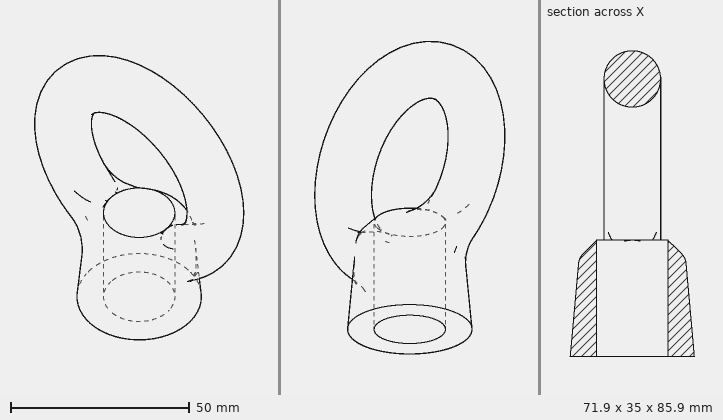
import cadquery as cq
import math

total_height = 85.9
ring_outer_diameter = 71.9
bar_diameter = 16.0
base_diameter = 35.0
bore_diameter = 20.0
boss_height = 32.7
shoulder_height = 27.75
shoulder_round = 4.0
blend_radius = 15.0
blend_end_radius = 0.7
blend_overlap = 0.01

bar_radius = bar_diameter / 2
ring_radius = ring_outer_diameter / 2 - bar_radius
ring_center_height = total_height - ring_outer_diameter / 2
base_radius = base_diameter / 2
bore_radius = bore_diameter / 2

top_normal_angle = math.radians(45)
shoulder_radius = bore_radius + boss_height - shoulder_height
side_normal_angle = math.atan((base_radius - shoulder_radius) / shoulder_height)
side_slope = math.tan(side_normal_angle)

round_turn = top_normal_angle - side_normal_angle
round_reach = shoulder_round * math.tan(round_turn / 2)
round_start_height = shoulder_height - round_reach * math.cos(side_normal_angle)
round_start_radius = base_radius - round_start_height * side_slope
round_end_height = shoulder_height + round_reach * math.sin(top_normal_angle)
round_end_radius = shoulder_radius - round_reach * math.cos(top_normal_angle)
round_center_radius = round_start_radius - shoulder_round * math.cos(side_normal_angle)
round_center_height = round_start_height - shoulder_round * math.sin(side_normal_angle)

core_point = cq.Vector(8.6, 0, 23.2)
core_scale = 0.2
samples_per_stretch = 10
bisection_steps = 60
taper_power = 2


def make_ring():
    """Round bar bent into an upright ring about the Y axis."""
    return (
        cq.Workplane("XY", origin=(0, 0, ring_center_height))
        .center(ring_radius, 0)
        .circle(bar_radius)
        .revolve(360, (-ring_radius, 0, 0), (-ring_radius, 1, 0))
    )


def round_point(angle):
    """Radius and height on the shoulder round where its normal has this elevation."""
    return (
        round_center_radius + shoulder_round * math.cos(angle),
        round_center_height + shoulder_round * math.sin(angle),
    )


def make_boss():
    """Tapered boss with a rounded shoulder and a 45 degree conical top."""
    round_middle = round_point((side_normal_angle + top_normal_angle) / 2)
    return (
        cq.Workplane("YZ")
        .lineTo(base_radius, 0)
        .lineTo(round_start_radius, round_start_height)
        .threePointArc(round_middle, (round_end_radius, round_end_height))
        .lineTo(bore_radius, boss_height)
        .lineTo(0, boss_height)
        .close()
        .revolve(360, (0, 0, 0), (0, 1, 0))
    )


def ball_center(radius, height, angle, ball_radius):
    """Squared Y and the centre of a ball resting on the boss profile and the ring."""
    boss_reach = ball_radius - blend_overlap
    ring_reach = bar_radius + boss_reach
    axis_distance = radius + boss_reach * math.cos(angle)
    center_height = height + boss_reach * math.sin(angle)
    drop = center_height - ring_center_height
    from_ring_axis = (ring_radius**2 + axis_distance**2 + drop**2 - ring_reach**2) / (2 * ring_radius)
    x_squared = from_ring_axis**2 - drop**2
    y_squared = axis_distance**2 - x_squared
    y = math.sqrt(max(y_squared, 0))
    return y_squared, cq.Vector(math.sqrt(x_squared), y, center_height)


def side_contact(height):
    """Radius, height, normal elevation and ball radius on the tapered side."""
    return base_radius - height * side_slope, height, side_normal_angle, blend_radius


def lowest_contact_height():
    """Height on the side where the ball lies in the plane of the ring, by bisection."""
    low, high = 0, round_start_height
    for _ in range(bisection_steps):
        middle = (low + high) / 2
        if ball_center(*side_contact(middle))[0] < 0:
            low = middle
        else:
            high = middle
    return high


def blend_stretches():
    """Ball contacts for three stretches: up the side, over the round and up the top."""
    bottom = lowest_contact_height()
    side, shoulder, top = [], [], []
    for i in range(samples_per_stretch + 1):
        t = i / samples_per_stretch
        side.append(side_contact(bottom + (round_start_height - bottom) * t**2))
        angle = side_normal_angle + round_turn * t
        shoulder.append((*round_point(angle), angle, blend_radius))
        radius = round_end_radius + (bore_radius - round_end_radius) * t
        height = round_end_height + (boss_height - round_end_height) * t
        ball_radius = blend_radius + (blend_end_radius - blend_radius) * t**taper_power
        top.append((radius, height, top_normal_angle, ball_radius))
    return side, shoulder, top


def blend_section(contact):
    """Ball arc from its contact with the boss to its contact with the ring."""
    angle, ball_radius = contact[2:]
    center = ball_center(*contact)[1]
    outward = cq.Vector(center.x, center.y, 0).normalized()
    to_boss = outward * -math.cos(angle) - cq.Vector(0, 0, math.sin(angle))
    ring_center = cq.Vector(0, 0, ring_center_height)
    in_ring_plane = cq.Vector(center.x, 0, center.z - ring_center_height)
    bar_center = ring_center + in_ring_plane.normalized() * ring_radius
    to_ring = (bar_center - center).normalized()
    to_middle = (to_boss + to_ring).normalized()
    start, middle, end = (
        center + direction * ball_radius for direction in (to_boss, to_middle, to_ring)
    )
    return cq.Edge.makeThreePointArc(start, middle, end)


def toward_core(shape):
    """Copy of a shape shrunk toward the core point."""
    return shape.translate(core_point * -1).scale(core_scale).translate(core_point)


def make_blend():
    """One quarter of the concave blend between ring and boss, at +X and +Y."""
    faces = []
    stretches = [[blend_section(contact) for contact in stretch] for stretch in blend_stretches()]
    borders = [stretches[0][0], stretches[-1][-1]]
    for sections in stretches:
        skin = cq.occ_impl.shapes.loft(sections)
        faces += [skin, toward_core(skin)]
        ring_border, boss_border = skin.Edges()[1::2]
        borders += [ring_border, boss_border]
    faces += [cq.Face.makeRuledSurface(border, toward_core(border)) for border in borders]
    return cq.Workplane(cq.Solid.makeSolid(cq.Shell.makeShell(faces)).fix())


blend = make_blend()
bore = cq.Workplane("XY").circle(bore_radius).extrude(ring_center_height)
result = make_ring().union(make_boss())
for x_side in (blend, blend.mirror("YZ")):
    for quarter in (x_side, x_side.mirror("XZ")):
        result = result.union(quarter)
result = result.cut(bore)